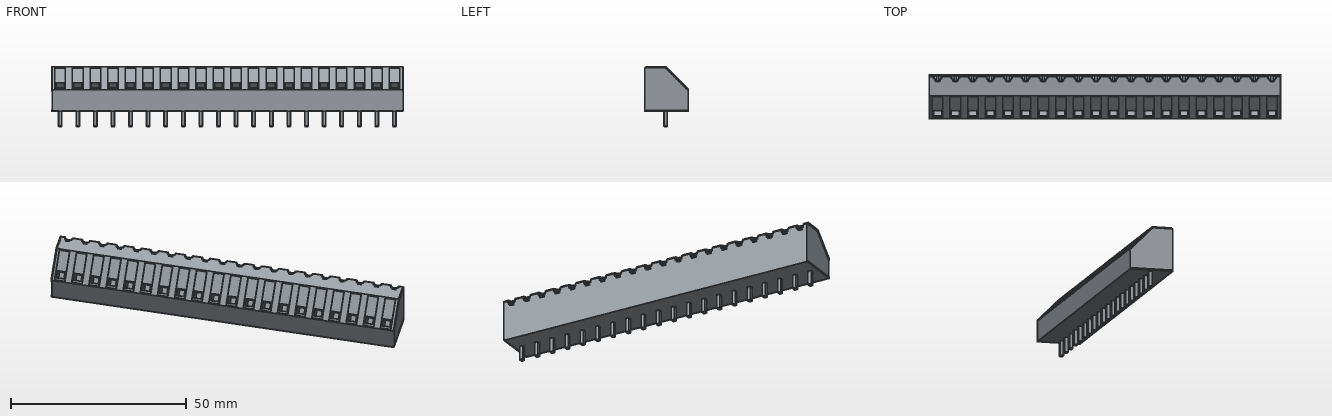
import cadquery as cq
import math

TOTAL_LENGTH = 100.0
DEPTH = 12.5
HEIGHT = 12.6
PIN_LENGTH = 4.5

POLE_COUNT = 20
PITCH = 5.0
ROW_SHIFT = 0.05
ROW_CENTER = TOTAL_LENGTH / 2 - ROW_SHIFT

PAD_THICKNESS = 0.2
PAD_INSET = 0.3
BODY_LENGTH = TOTAL_LENGTH - PAD_THICKNESS

SLOPE_RUN = 6.5
SLOPE_ANGLE = 45.0
BACK_CHAMFER = 0.5

SLOT_WIDTH = 3.0
SLOT_DEPTH = 0.3
SLOT_END_MARGIN = 0.3
ENTRY_WIDTH = 2.2
ENTRY_HEIGHT = 2.0
ENTRY_DEPTH = 4.0
ENTRY_ABOVE_SLOPE_FOOT = 2.0

SCREW_TILT = 45.0
SCREW_HOLE_DIAMETER = 2.5
SCREW_DIAMETER = 2.2
SCREW_HEAD_DEPTH = 1.0
SCREW_GAP_DEPTH = 0.5
DRIVER_SLOT_WIDTH = 0.6
DRIVER_SLOT_DEPTH = 0.4

PIN_WIDTH = 1.0
PIN_TIP_CHAMFER = 0.3
PIN_FROM_BACK = 6.0

SLOPE_LENGTH = SLOPE_RUN / math.cos(math.radians(SLOPE_ANGLE))
POLE_CENTERS = [ROW_CENTER + (i - (POLE_COUNT - 1) / 2) * PITCH for i in range(POLE_COUNT)]
OVERCUT = 2.0


BODY_OUTLINE = [
    (0, 0),
    (DEPTH, 0),
    (DEPTH, HEIGHT - BACK_CHAMFER),
    (DEPTH - BACK_CHAMFER, HEIGHT),
    (SLOPE_RUN, HEIGHT),
    (0, HEIGHT - SLOPE_RUN),
]

PAD_OUTLINE = [
    (0, PAD_INSET),
    (DEPTH, PAD_INSET),
    (DEPTH, HEIGHT - BACK_CHAMFER),
    (DEPTH - BACK_CHAMFER + PAD_INSET, HEIGHT - PAD_INSET),
    (SLOPE_RUN, HEIGHT - PAD_INSET),
    (0, HEIGHT - PAD_INSET - SLOPE_RUN),
]


def prism(outline, start_x, length):
    """Closed Y-Z outline extruded along +X from start_x."""
    return cq.Workplane("YZ", origin=(start_x, 0, 0)).polyline(outline).close().extrude(length)


def cut_block(width, height, center_height, depth):
    """Box sunk into the slope: in local axes X is along the row, Y up the slope, Z outward."""
    return (
        cq.Workplane("XY")
        .box(width, height, depth + OVERCUT, centered=(True, True, False))
        .translate((0, center_height, -depth))
    )


def slope_cutter():
    """Label slot and wire entry of one pole, in place on the slope at x = 0."""
    slot = cut_block(SLOT_WIDTH, SLOPE_LENGTH - 2 * SLOT_END_MARGIN, SLOPE_LENGTH / 2, SLOT_DEPTH)
    entry = cut_block(ENTRY_WIDTH, ENTRY_HEIGHT, ENTRY_ABOVE_SLOPE_FOOT, ENTRY_DEPTH)
    return (
        slot.union(entry)
        .rotate((0, 0, 0), (1, 0, 0), SLOPE_ANGLE)
        .translate((0, 0, HEIGHT - SLOPE_RUN))
    )


def screw_cutter():
    """Space around and above one slotted screw head, in place on the top back edge at x = 0."""
    gap_bottom = -SCREW_HEAD_DEPTH - SCREW_GAP_DEPTH
    hole = (
        cq.Workplane("XY", origin=(0, 0, gap_bottom))
        .circle(SCREW_HOLE_DIAMETER / 2)
        .extrude(OVERCUT - gap_bottom)
    )
    head = (
        cq.Workplane("XY", origin=(0, 0, gap_bottom))
        .circle(SCREW_DIAMETER / 2)
        .extrude(SCREW_GAP_DEPTH)
    )
    driver_slot = (
        cq.Workplane("XY", origin=(0, 0, -SCREW_HEAD_DEPTH - DRIVER_SLOT_DEPTH))
        .rect(DRIVER_SLOT_WIDTH, SCREW_DIAMETER)
        .extrude(DRIVER_SLOT_DEPTH)
    )
    return (
        hole.cut(head)
        .union(driver_slot)
        .rotate((0, 0, 0), (1, 0, 0), -SCREW_TILT)
        .translate((0, DEPTH, HEIGHT))
    )


def solder_pin():
    """One solder pin below the housing at x = 0."""
    return (
        cq.Workplane("XY")
        .box(PIN_WIDTH, PIN_WIDTH, PIN_LENGTH, centered=(True, True, False))
        .faces("<Z")
        .chamfer(PIN_TIP_CHAMFER)
        .translate((0, DEPTH - PIN_FROM_BACK, -PIN_LENGTH))
    )


def at_every_pole(feature):
    """Copies of a one-pole feature at all poles."""
    solid = feature.val()
    return cq.Workplane("XY").newObject([solid.translate(cq.Vector(x, 0, 0)) for x in POLE_CENTERS])


def cut_all(body, cutters):
    """Body with every cutter removed."""
    return cq.Workplane("XY").newObject([body.val().cut(*cutters.vals())])


housing = prism(BODY_OUTLINE, 0, BODY_LENGTH)
housing = housing.cut(prism(PAD_OUTLINE, 0, PAD_THICKNESS))
housing = housing.union(prism(PAD_OUTLINE, BODY_LENGTH, PAD_THICKNESS))
housing = cut_all(housing, at_every_pole(slope_cutter()))
housing = cut_all(housing, at_every_pole(screw_cutter()))

result = cq.Workplane("XY").newObject([housing.val().fuse(*at_every_pole(solder_pin()).vals())])